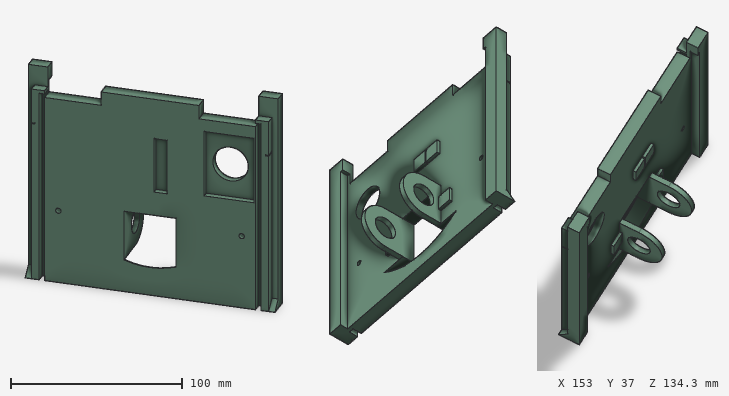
import cadquery as cq

overall_width = 153.0
plate_thickness = 8.5
shoulder_height = 117.5
tab_width = 60.0
tab_height = 126.0

bar_width = 12.0
bar_height = 134.3
bar_front = 6.1
toe_height = 6.0
bar_back = 13.9
rib_inset = 3.8
rib_width = 4.7
rib_height = 121.8
cap_thickness = 2.1
plate_width = overall_width - 2 * bar_width
bar_inner_x = overall_width / 2 - bar_width
rib_outer_x = overall_width / 2 - rib_inset

relief_depth = 2.0
relief_height = 125.3

slit_depth = 2.0
slit_height = 0.6
slit_z = 99.6

window_width = 31.8
window_top = 51.5
window_side_bottom = 20.3
window_arc_bottom = 17.7
lip_thickness = 0.8

pocket_depth = 4.0
square_pocket_width = 30.5
square_pocket_height = 41.3
square_pocket_x = 48.3
square_pocket_z = 89.2
port_diameter = 21.5
port_x = 48.0
port_z = 89.4
slot_width = 8.0
slot_height = 34.3
slot_x = 6.5
slot_z = 83.7

pin_hole_diameter = 3.2
pin_hole_x = 56.2
pin_hole_z = 46.0

lug_thickness = 3.4
lug_radius = 15.5
lug_hole_diameter = 15.0
lug_tip = 37.0
lug_z = 36.0
lug_y = lug_tip - lug_radius
lug_inner_x = window_width / 2
lug_outer_x = lug_inner_x + lug_thickness

pad_thickness = 2.0
pad_size = 10.1
pad_pair_x = -7.5
pad_pair_gap = 0.9


def block(x_range, y_range, z_range):
    """Box between the given pairs of limits."""
    (x0, x1), (y0, y1), (z0, z1) = x_range, y_range, z_range
    return cq.Workplane("XY").box(x1 - x0, y1 - y0, z1 - z0, centered=False).translate((x0, y0, z0))


def front_block(width, height, x, z, y_range):
    """Box given by its width, height and centre in the XZ plane."""
    return block((x - width / 2, x + width / 2), y_range, (z - height / 2, z + height / 2))


def through_hole(diameter, x, z):
    """Cylinder through the whole plate along Y."""
    circle = cq.Workplane("XZ", origin=(x, 0, z)).circle(diameter / 2)
    return circle.extrude(-plate_thickness)


def both_sides(right_half):
    """The given shape together with its mirror image in x = 0."""
    return right_half.union(right_half.mirror("YZ"))


def plate():
    body = block((-plate_width / 2, plate_width / 2), (0, plate_thickness), (0, shoulder_height))
    tab = block((-tab_width / 2, tab_width / 2), (0, plate_thickness), (0, tab_height))
    return body.union(tab)


def right_rail():
    x_outer = overall_width / 2
    bar = block((bar_inner_x, x_outer), (bar_front, bar_back), (0, bar_height))
    toe = (
        cq.Workplane("YZ", origin=(rib_outer_x, 0, 0))
        .polyline([(0, 0), (bar_front, 0), (bar_front, toe_height)])
        .close()
        .extrude(rib_inset)
    )
    rib = block((rib_outer_x - rib_width, rib_outer_x), (0, bar_front), (0, rib_height))
    cap = block((bar_inner_x, rib_outer_x), (0, bar_front), (rib_height - cap_thickness, rib_height))
    relief = block(
        (bar_inner_x, bar_inner_x + relief_depth), (plate_thickness, bar_back), (0, relief_height)
    )
    slit = block(
        (rib_outer_x - slit_depth, x_outer), (0, bar_front), (slit_z, slit_z + slit_height)
    )
    return bar.union(toe).union(rib).union(cap).cut(relief).cut(slit)


def window():
    half = window_width / 2
    return (
        cq.Workplane("XZ")
        .moveTo(-half, window_top)
        .lineTo(-half, window_side_bottom)
        .threePointArc((0, window_arc_bottom), (half, window_side_bottom))
        .lineTo(half, window_top)
        .close()
        .extrude(-plate_thickness)
    )


def window_flare():
    """45 degree cone that opens the curved bottom edge toward the back, behind a thin front lip."""
    half = window_width / 2
    sag = window_side_bottom - window_arc_bottom
    arc_radius = (half**2 + sag**2) / (2 * sag)
    back_radius = arc_radius + plate_thickness - lip_thickness
    cone = (
        cq.Workplane("XY", origin=(0, 0, window_arc_bottom + arc_radius))
        .polyline(
            [
                (0, lip_thickness),
                (arc_radius, lip_thickness),
                (back_radius, plate_thickness),
                (0, plate_thickness),
            ]
        )
        .close()
        .revolve(360, (0, 0, 0), (0, 1, 0))
    )
    below_sides = block(
        (-overall_width / 2, overall_width / 2), (0, plate_thickness), (0, window_side_bottom)
    )
    return cone.intersect(below_sides)


def pad(x, z):
    """Square raised pad on the back face, centred on x and z."""
    y_range = (plate_thickness, plate_thickness + pad_thickness)
    return front_block(pad_size, pad_size, x, z, y_range)


def right_lug():
    """Round-ended lug with a pivot hole and a square foot on its outer side."""
    z_range = (lug_z - lug_radius, lug_z + lug_radius)
    arm = block((lug_inner_x, lug_outer_x), (plate_thickness, lug_y), z_range)
    axis = cq.Workplane("YZ", origin=(lug_inner_x, lug_y, lug_z))
    end = axis.circle(lug_radius).extrude(lug_thickness)
    hole = axis.circle(lug_hole_diameter / 2).extrude(lug_thickness)
    foot = pad(lug_outer_x + pad_size / 2, lug_z)
    return arm.union(end).cut(hole).union(foot)


def pad_pair():
    """Two raised pads with a narrow gap between them, level with the slot."""
    offset = (pad_size + pad_pair_gap) / 2
    return pad(pad_pair_x - offset, slot_z).union(pad(pad_pair_x + offset, slot_z))


result = plate().union(both_sides(right_rail()))
result = result.cut(window()).cut(window_flare())

pocket_range = (0, pocket_depth)
result = result.cut(
    front_block(square_pocket_width, square_pocket_height, square_pocket_x, square_pocket_z, pocket_range)
)
result = result.cut(front_block(slot_width, slot_height, slot_x, slot_z, pocket_range))
result = result.cut(through_hole(port_diameter, port_x, port_z))
for x in (-pin_hole_x, pin_hole_x):
    result = result.cut(through_hole(pin_hole_diameter, x, pin_hole_z))

result = result.union(both_sides(right_lug()))
result = result.union(pad_pair())